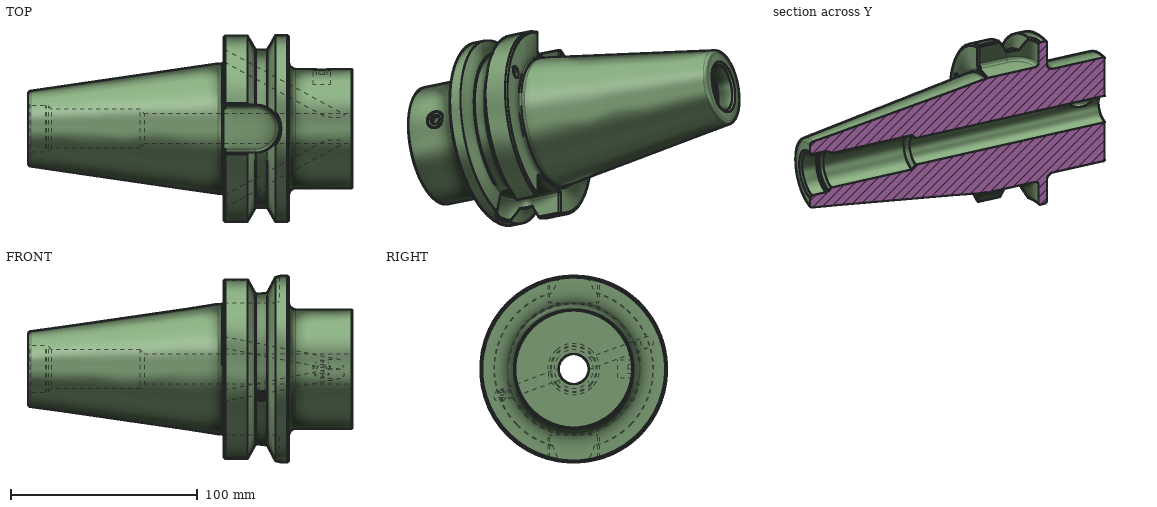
import cadquery as cq
import math

gauge_radius = 69.85 / 2
taper_ratio = 7 / 24
shank_length = 101.8
shank_end_radius = gauge_radius - shank_length * taper_ratio / 2
shank_end_fillet = 2

flange_radius = 50
flange_start = 3
flange_end = 38
flange_chamfer = 1
neck_fillet = 1
groove_center = 23.2
groove_radius = 42.4
groove_bottom_width = 6.4
groove_flank_angle = 30
groove_corner_fillet = 0.6
groove_half_bottom = groove_bottom_width / 2
groove_depth = flange_radius - groove_radius
groove_half_top = groove_half_bottom + groove_depth * math.tan(math.radians(groove_flank_angle))

nose_radius = 32
nose_end = 72
nose_fillet = 3.5
nose_chamfer = 0.7

entry_radius = 13.8
entry_length = 1.2
pilot_radius = 12.5
pilot_depth = 9.4
pilot_end_chamfer = 0.5
relief_length = 1.2
thread_radius = 10.4
thread_lead_angle = 45
thread_depth = 60
through_radius = 8

slot_width = 25.7
slot_floor_height = 35.3
slot_round_center = 20
slot_floor_fillet = 2
slot_edge_chamfer = 1

channel_angle = 20
channel_diameter = 6
channel_start_radius = 41.8
channel_slope = 30

groove_screw_angle = 180 + channel_angle
groove_screw_diameter = 5.6
groove_screw_length = 5
groove_screw_flats = 3

clamp_screw_x = 55.5
clamp_screw_diameter = 9.5
clamp_screw_length = 8
clamp_screw_flats = 5

screw_recess = 0.5
screw_chamfer = 0.4
socket_depth = 2.5


def revolve_about_x(profile):
    """Revolve a closed profile, drawn as (x, radius), about the X axis."""
    return profile.close().revolve(360, (0, 0, 0), (1, 0, 0))


def nearest_edge(body, point):
    return min(body.edges().vals(), key=cq.Vertex.makeVertex(*point).distance)


def outer_shape():
    neck_start = flange_start - neck_fillet
    slant = math.sqrt(0.5)
    profile = (
        cq.Workplane("XY")
        .moveTo(-shank_length, 0)
        .lineTo(-shank_length, shank_end_radius)
        .lineTo(0, gauge_radius)
        .lineTo(neck_start, gauge_radius)
        .threePointArc(
            (neck_start + neck_fillet * slant, gauge_radius + neck_fillet * (1 - slant)),
            (flange_start, gauge_radius + neck_fillet),
        )
        .lineTo(flange_start, flange_radius - flange_chamfer)
        .lineTo(flange_start + flange_chamfer, flange_radius)
        .lineTo(groove_center - groove_half_top, flange_radius)
        .lineTo(groove_center - groove_half_bottom, groove_radius)
        .lineTo(groove_center + groove_half_bottom, groove_radius)
        .lineTo(groove_center + groove_half_top, flange_radius)
        .lineTo(flange_end - flange_chamfer, flange_radius)
        .lineTo(flange_end, flange_radius - flange_chamfer)
        .lineTo(flange_end, nose_radius + nose_fillet)
        .threePointArc(
            (flange_end + nose_fillet * (1 - slant), nose_radius + nose_fillet * (1 - slant)),
            (flange_end + nose_fillet, nose_radius),
        )
        .lineTo(nose_end - nose_chamfer, nose_radius)
        .lineTo(nose_end, nose_radius - nose_chamfer)
        .lineTo(nose_end, 0)
    )
    body = revolve_about_x(profile).faces("<X").edges().fillet(shank_end_fillet)
    corners = [
        nearest_edge(body, (groove_center + side * groove_half_bottom, groove_radius, 0)) for side in (1, -1)
    ]
    return body.newObject(corners).fillet(groove_corner_fillet)


def bore():
    shank_end = -shank_length
    pilot_end = shank_end + pilot_depth
    relief_start = pilot_end + pilot_end_chamfer
    lead_start = relief_start + relief_length
    lead_radius = pilot_radius - pilot_end_chamfer
    thread_start = lead_start + (lead_radius - thread_radius) / math.tan(math.radians(thread_lead_angle))
    thread_end = shank_end + thread_depth
    profile = (
        cq.Workplane("XY")
        .moveTo(shank_end, 0)
        .lineTo(shank_end, entry_radius)
        .lineTo(shank_end + entry_length, pilot_radius)
        .lineTo(pilot_end, pilot_radius)
        .lineTo(relief_start, lead_radius)
        .lineTo(lead_start, lead_radius)
        .lineTo(thread_start, thread_radius)
        .lineTo(thread_end, thread_radius)
        .lineTo(thread_end + thread_radius - through_radius, through_radius)
        .lineTo(nose_end, through_radius)
        .lineTo(nose_end, 0)
    )
    return revolve_about_x(profile)


def drive_slot():
    """Round-ended slot cutter above +Z, open towards the taper."""
    half_width = slot_width / 2
    return (
        cq.Workplane("XY", origin=(0, 0, slot_floor_height))
        .moveTo(-flange_start, half_width)
        .lineTo(slot_round_center, half_width)
        .threePointArc((slot_round_center + half_width, 0), (slot_round_center, -half_width))
        .lineTo(-flange_start, -half_width)
        .close()
        .extrude(flange_radius)
        .faces("<Z")
        .edges("not <X")
        .fillet(slot_floor_fillet)
    )


def slot_mouth():
    """Cutter that bevels the slot walls where they meet the front face of the flange."""
    half_width = slot_width / 2
    flare = (
        cq.Workplane("YZ", origin=(flange_start + slot_edge_chamfer, 0, 0))
        .moveTo(-half_width, flange_radius + half_width)
        .lineTo(-half_width, slot_floor_height + slot_floor_fillet)
        .radiusArc((slot_floor_fillet - half_width, slot_floor_height), -slot_floor_fillet)
        .lineTo(half_width - slot_floor_fillet, slot_floor_height)
        .radiusArc((half_width, slot_floor_height + slot_floor_fillet), -slot_floor_fillet)
        .lineTo(half_width, flange_radius + half_width)
        .close()
        .extrude(-2 * slot_edge_chamfer, taper=-45)
    )
    above_floor = cq.Workplane("XY", origin=(0, 0, slot_floor_height)).box(
        flange_radius, flange_radius, flange_radius, centered=(True, True, False)
    )
    return flare.intersect(above_floor)


def slot_rim_edges(body):
    """Edges where the slot walls and the round slot ends meet the flange rim."""
    half_width = slot_width / 2
    wall_height = math.sqrt(flange_radius**2 - half_width**2)
    front_rim_middle = (flange_start + flange_chamfer + groove_center - groove_half_top) / 2
    points = []
    for side in (1, -1):
        points.append((slot_round_center + half_width, 0, side * flange_radius))
        for wall in (half_width, -half_width):
            points.append((front_rim_middle, wall, side * wall_height))
    return body.newObject([nearest_edge(body, point) for point in points])


def coolant_channel():
    """Sloping cylinder in the XY plane, from outside the flange face into the central bore."""
    slope = math.radians(channel_slope)
    direction = cq.Vector(math.cos(slope), -math.sin(slope), 0)
    mouth = cq.Vector(flange_start, channel_start_radius, 0)
    overrun = channel_diameter
    length = channel_start_radius / math.sin(slope)
    channel = cq.Solid.makeCylinder(
        channel_diameter / 2, length - through_radius + overrun, mouth - direction * overrun, direction
    )
    return cq.Workplane(channel)


def radial_cylinder(x, diameter, inner, outer):
    """Cylinder along +Y at a given x, between two distances from the X axis."""
    return cq.Workplane("XZ", origin=(x, inner, 0)).circle(diameter / 2).extrude(inner - outer)


def set_screw(x, diameter, length, flats, surface_radius):
    """Socket set screw along +Y, its head just below a cylinder of the given radius."""
    top = surface_radius - screw_recess
    socket = (
        cq.Workplane("XZ", origin=(x, top, 0))
        .polygon(6, flats / math.cos(math.pi / 6))
        .extrude(socket_depth)
    )
    return (
        radial_cylinder(x, diameter, top - length, top)
        .faces(">Y")
        .edges()
        .chamfer(screw_chamfer)
        .cut(socket)
    )


def screw_hole(x, diameter, length, surface_radius):
    """Hole along +Y that a set screw sits in, bottoming on the end of the screw."""
    floor = surface_radius - screw_recess - length
    return radial_cylinder(x, diameter, floor, surface_radius + diameter)


def groove_screw():
    screw = set_screw(
        groove_center, groove_screw_diameter, groove_screw_length, groove_screw_flats, groove_radius
    )
    return turned(screw, groove_screw_angle)


def groove_screw_hole():
    hole = screw_hole(groove_center, groove_screw_diameter, groove_screw_length, groove_radius)
    return turned(hole, groove_screw_angle)


def clamp_screw():
    return set_screw(
        clamp_screw_x, clamp_screw_diameter, clamp_screw_length, clamp_screw_flats, nose_radius
    )


def clamp_screw_hole():
    return screw_hole(clamp_screw_x, clamp_screw_diameter, clamp_screw_length, nose_radius)


def turned(shape, angle):
    """Turn a shape about the X axis."""
    return shape.rotate((0, 0, 0), (1, 0, 0), angle)


half_turns = (0, 180)

holder = outer_shape().cut(bore())
for angle in half_turns:
    holder = holder.cut(turned(drive_slot(), angle))
holder = slot_rim_edges(holder).chamfer(slot_edge_chamfer)
for angle in half_turns:
    holder = holder.cut(turned(slot_mouth(), angle))
    holder = holder.cut(turned(coolant_channel(), angle + channel_angle))
holder = holder.cut(groove_screw_hole()).cut(clamp_screw_hole())

result = cq.Compound.makeCompound([holder.val(), groove_screw().val(), clamp_screw().val()])